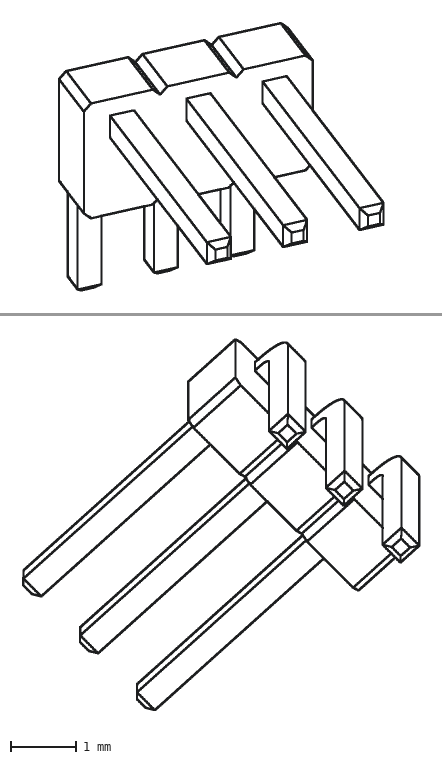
import cadquery as cq

PIN_COUNT = 3
PITCH = 1.27
PIN_SIZE = 0.4
PIN_LENGTH_X = 5.7
PIN_HEIGHT_Z = 4.05
BEND_INNER_RADIUS = 0.2
TIP_LENGTH = 0.1

BODY_LENGTH_X = 1.0
BODY_HEIGHT = 2.1
BODY_CHAMFER = 0.12
BODY_OFFSET_X = 0.7
BODY_TOP_ABOVE_PIN = 0.3

BEND_OUTER_RADIUS = BEND_INNER_RADIUS + PIN_SIZE
BODY_TOP = PIN_HEIGHT_Z + BODY_TOP_ABOVE_PIN
BODY_MID_Z = BODY_TOP - BODY_HEIGHT / 2
FIRST_PIN_Y = -(PIN_COUNT - 1) * PITCH / 2
PIN_YS = [FIRST_PIN_Y + i * PITCH for i in range(PIN_COUNT)]


def make_cell(y):
    """One housing cell; its chamfers form notches against its neighbours."""
    return (
        cq.Workplane("XY")
        .box(BODY_LENGTH_X, PITCH, BODY_HEIGHT)
        .edges("|X")
        .chamfer(BODY_CHAMFER)
        .translate((BODY_OFFSET_X + BODY_LENGTH_X / 2, y, BODY_MID_Z))
    )


def make_tip(plane):
    """Square frustum that ends a pin, growing along the plane normal."""
    end_size = PIN_SIZE - 2 * TIP_LENGTH
    return (
        cq.Workplane(plane)
        .rect(PIN_SIZE, PIN_SIZE)
        .workplane(offset=TIP_LENGTH)
        .rect(end_size, end_size)
        .loft(ruled=True)
    )


def make_pin(y):
    """Right-angle pin: a vertical leg, a rounded bend, a horizontal leg and two tips."""
    leg_center_x = PIN_SIZE / 2
    leg_center_z = PIN_HEIGHT_Z - PIN_SIZE / 2
    bend_radius = BEND_INNER_RADIUS + PIN_SIZE / 2
    path = (
        cq.Workplane("XZ")
        .moveTo(leg_center_x, TIP_LENGTH)
        .lineTo(leg_center_x, PIN_HEIGHT_Z - BEND_OUTER_RADIUS)
        .radiusArc((BEND_OUTER_RADIUS, leg_center_z), bend_radius)
        .lineTo(PIN_LENGTH_X - TIP_LENGTH, leg_center_z)
    )
    wire = (
        cq.Workplane("XY", origin=(leg_center_x, 0, TIP_LENGTH))
        .rect(PIN_SIZE, PIN_SIZE)
        .sweep(path)
    )
    lower_plane = cq.Plane((leg_center_x, 0, TIP_LENGTH), (1, 0, 0), (0, 0, -1))
    outer_plane = cq.Plane((PIN_LENGTH_X - TIP_LENGTH, 0, leg_center_z), (0, 1, 0), (1, 0, 0))
    pin = wire.union(make_tip(lower_plane)).union(make_tip(outer_plane))
    return pin.translate((0, y, 0))


result = make_cell(PIN_YS[0])
for pin_y in PIN_YS[1:]:
    result = result.union(make_cell(pin_y))
result = result.clean()
for pin_y in PIN_YS:
    result = result.union(make_pin(pin_y))